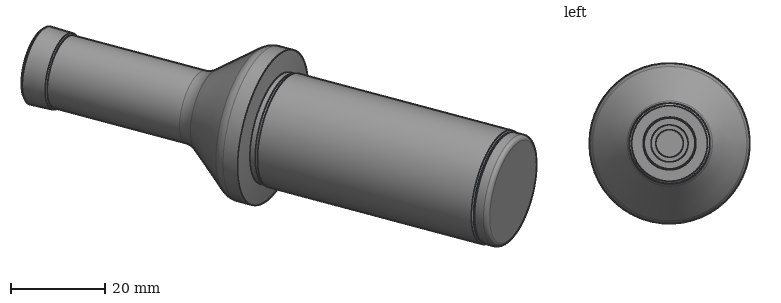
import cadquery as cq
import math

total_length = 112.0
neck_radius = 16.0 / 2
flange_radius = 34.0 / 2
shank_radius = 25.0 / 2
relief_radius = 24.5 / 2

head_length = 6.2
head_front_radius = 17.1 / 2
head_rear_radius = 16.8 / 2
head_front_chamfer = 0.6
head_rear_chamfer = 0.3

head_bore_radius = 5.6
stud_radius = 5.4
socket_mouth_radius = 3.9
socket_mouth_depth = 0.2
socket_radius = 2.9
socket_depth = 0.5

neck_end = 37.3
neck_blend_radius = 5.0
flange_start = 52.0
flange_blend_radius = 3.4

flange_rim_end = 55.4
flange_root = 56.0
undercut_end = 57.2
shank_start = 57.9
shank_end = 108.3
collar_groove_bottom = 108.6
collar_groove_radius = 12.1
collar_start = 109.0
collar_fillet = 1.0


def cone_angle():
    """Angle from the axis of the line tangent to both blend arcs."""
    run = flange_start - neck_end
    rise = flange_radius - neck_radius - neck_blend_radius - flange_blend_radius
    center_distance = math.hypot(run, rise)
    blend_sum = neck_blend_radius + flange_blend_radius
    return math.atan2(rise, run) + math.asin(blend_sum / center_distance)


def neck_arc_point(angle):
    """Point on the concave arc after turning by angle from the neck."""
    return (
        neck_end + neck_blend_radius * math.sin(angle),
        neck_radius + neck_blend_radius * (1 - math.cos(angle)),
    )


def flange_arc_point(angle):
    """Point on the convex arc where the surface is inclined by angle."""
    return (
        flange_start - flange_blend_radius * math.sin(angle),
        flange_radius - flange_blend_radius * (1 - math.cos(angle)),
    )


def revolve_about_x(profile):
    return profile.close().revolve(360, (0, 0, 0), (1, 0, 0))


def make_head():
    """Slightly back-tapered ring that sits around the holder's stud."""
    return revolve_about_x(
        cq.Workplane("XY")
        .moveTo(0, head_bore_radius)
        .lineTo(0, head_front_radius - head_front_chamfer)
        .lineTo(head_front_chamfer, head_front_radius)
        .lineTo(head_length - head_rear_chamfer, head_rear_radius)
        .lineTo(head_length, head_rear_radius - head_rear_chamfer)
        .lineTo(head_length, head_bore_radius)
    )


def make_holder():
    """Stud with socket, neck, blended cone, flange and cylindrical shank."""
    angle = cone_angle()
    collar_fillet_middle = (
        total_length - collar_fillet * (1 - math.sin(math.pi / 4)),
        relief_radius - collar_fillet * (1 - math.cos(math.pi / 4)),
    )
    return revolve_about_x(
        cq.Workplane("XY")
        .moveTo(socket_depth, 0)
        .lineTo(socket_depth, socket_radius)
        .lineTo(socket_mouth_depth, socket_radius)
        .lineTo(socket_mouth_depth, socket_mouth_radius)
        .lineTo(0, socket_mouth_radius)
        .lineTo(0, stud_radius)
        .lineTo(head_length, stud_radius)
        .lineTo(head_length, neck_radius)
        .lineTo(neck_end, neck_radius)
        .threePointArc(neck_arc_point(angle / 2), neck_arc_point(angle))
        .lineTo(*flange_arc_point(angle))
        .threePointArc(flange_arc_point(angle / 2), (flange_start, flange_radius))
        .lineTo(flange_rim_end, flange_radius)
        .lineTo(flange_root, relief_radius)
        .lineTo(undercut_end, relief_radius)
        .lineTo(shank_start, shank_radius)
        .lineTo(shank_end, shank_radius)
        .lineTo(collar_groove_bottom, collar_groove_radius)
        .lineTo(collar_start, relief_radius)
        .lineTo(total_length - collar_fillet, relief_radius)
        .threePointArc(collar_fillet_middle, (total_length, relief_radius - collar_fillet))
        .lineTo(total_length, 0)
    )


head = make_head()
holder = make_holder()
result = cq.Compound.makeCompound([head.val(), holder.val()])